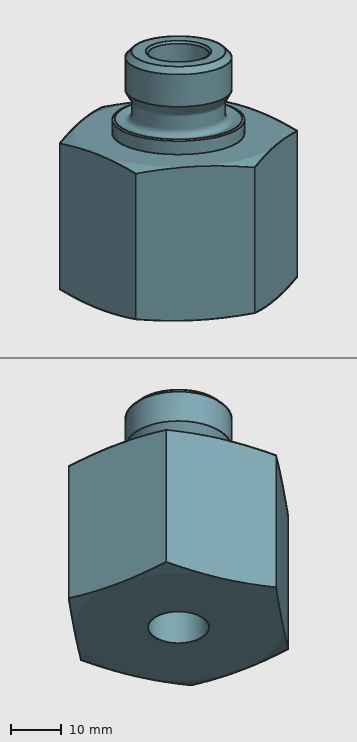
import cadquery as cq
import math

across_flats = 41.0
across_corners = across_flats / math.cos(math.radians(30))
hex_height = 32.0
corner_chamfer_angle = 15.0

total_height = 49.0
flange_diameter = 26.0
flange_height = 3.0
flange_chamfer = 0.5
flange_chamfer_height = 0.2
neck_diameter = 18.4
neck_fillet = 1.4
dish_depth = 0.45
neck_top_fillet = 1.1
head_diameter = 20.95
head_bottom = 41.05
head_taper_angle = 30.0
head_chamfer = 1.22

bore_diameter = 12.0
bore_chamfer = 0.45


def hex_body():
    """Hexagonal prism whose corners are turned off conically at both ends."""
    prism = (
        cq.Workplane("XY")
        .polygon(6, across_corners)
        .extrude(hex_height)
        .rotate((0, 0, 0), (0, 0, 1), 30)
    )
    flat_radius = across_flats / 2
    corner_radius = across_corners / 2
    corner_drop = (corner_radius - flat_radius) * math.tan(math.radians(corner_chamfer_angle))
    envelope = (
        cq.Workplane("XZ")
        .moveTo(0, 0)
        .lineTo(flat_radius, 0)
        .lineTo(corner_radius, corner_drop)
        .lineTo(corner_radius, hex_height - corner_drop)
        .lineTo(flat_radius, hex_height)
        .lineTo(0, hex_height)
        .close()
        .revolve(360, (0, 0, 0), (0, 1, 0))
    )
    return prism.intersect(envelope)


def spigot():
    """Flange with a dished top, filleted neck and tapered head as one turned profile."""
    flange_radius = flange_diameter / 2
    flange_top = hex_height + flange_height
    neck_radius = neck_diameter / 2
    head_radius = head_diameter / 2
    dish_bottom = flange_top - dish_depth
    fillet_inset = neck_fillet * (1 - math.sqrt(0.5))

    taper = math.radians(head_taper_angle)
    taper_bottom = head_bottom - (head_radius - neck_radius) / math.tan(taper)
    arc_start = taper_bottom - neck_top_fillet * math.tan(taper / 2)

    def neck_top_arc_point(angle):
        return (
            neck_radius + neck_top_fillet * (1 - math.cos(angle)),
            arc_start + neck_top_fillet * math.sin(angle),
        )

    return (
        cq.Workplane("XZ")
        .moveTo(0, hex_height)
        .lineTo(flange_radius, hex_height)
        .lineTo(flange_radius, flange_top - flange_chamfer_height)
        .lineTo(flange_radius - flange_chamfer, flange_top)
        .lineTo(neck_radius + neck_fillet, dish_bottom)
        .threePointArc(
            (neck_radius + fillet_inset, dish_bottom + fillet_inset),
            (neck_radius, dish_bottom + neck_fillet),
        )
        .lineTo(neck_radius, arc_start)
        .threePointArc(neck_top_arc_point(taper / 2), neck_top_arc_point(taper))
        .lineTo(head_radius, head_bottom)
        .lineTo(head_radius, total_height - head_chamfer)
        .lineTo(head_radius - head_chamfer, total_height)
        .lineTo(0, total_height)
        .close()
        .revolve(360, (0, 0, 0), (0, 1, 0))
    )


def bore():
    """Through hole with a chamfered mouth at the top."""
    bore_radius = bore_diameter / 2
    return (
        cq.Workplane("XZ")
        .moveTo(0, 0)
        .lineTo(bore_radius, 0)
        .lineTo(bore_radius, total_height - bore_chamfer)
        .lineTo(bore_radius + bore_chamfer, total_height)
        .lineTo(0, total_height)
        .close()
        .revolve(360, (0, 0, 0), (0, 1, 0))
    )


result = hex_body().union(spigot()).cut(bore())